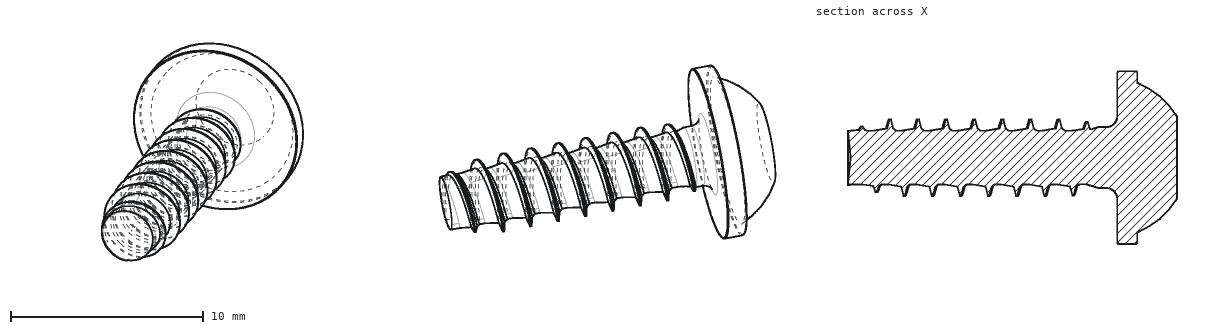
import cadquery as cq
import math


overall_length = 17.1
head_height = 3.11
flange_height = 1.05
flange_radius = 4.5
flange_edge_chamfer = 0.05
dome_base_radius = 3.9
dome_top_radius = 2.14

shank_length = overall_length - head_height
neck_radius = 1.59
neck_fillet = 0.56
neck_end = -0.97
core_start = -1.59
core_radius = 1.4
tip_recess_radius = 1.35
tip_recess_depth = 0.14

seven_turn_length = 10.23
thread_pitch = seven_turn_length / 7
crest_above_axis = -3.03
crest_radius = 2.0
crest_width = 0.09
foot_radius = 1.52
foot_offset = 0.162
head_ramp_width = 0.15
tip_ramp_width = 0.7
ramp_end_radius = 1.37
root_radius = 1.27
lead_in = [(-1.7, 0.5), (-0.4, 1)]
full_thread = [(turn, 1) for turn in range(7)]
lead_out = [(7.5, 0.05)]
thread_stages = lead_in + full_thread + lead_out
points_per_turn = 16


def revolve_about_y(outline):
    """Turn an XY outline that touches the axis into a solid of revolution."""
    return outline.close().revolve(360, (0, 0, 0), (0, 1, 0))


def make_head():
    dome_height = head_height - flange_height
    centre = (dome_top_radius**2 + dome_height**2 - dome_base_radius**2) / (2 * dome_height)
    sphere_radius = math.hypot(dome_base_radius, centre)
    mid_height = dome_height / 2
    mid_radius = math.sqrt(sphere_radius**2 - (mid_height - centre) ** 2)

    flange = revolve_about_y(
        cq.Workplane("XY")
        .lineTo(flange_radius, 0)
        .lineTo(flange_radius, flange_height)
        .lineTo(0, flange_height)
    ).edges().chamfer(flange_edge_chamfer)
    dome = revolve_about_y(
        cq.Workplane("XY")
        .lineTo(dome_base_radius, 0)
        .threePointArc((mid_radius, mid_height), (dome_top_radius, dome_height))
        .lineTo(0, dome_height)
    ).translate((0, flange_height, 0))
    return flange.union(dome)


def make_shank():
    diagonal = neck_fillet * (1 - math.sqrt(0.5))
    return revolve_about_y(
        cq.Workplane("XY")
        .lineTo(neck_radius + neck_fillet, 0)
        .threePointArc((neck_radius + diagonal, -diagonal), (neck_radius, -neck_fillet))
        .lineTo(neck_radius, neck_end)
        .lineTo(core_radius, core_start)
        .lineTo(core_radius, -shank_length)
        .lineTo(0, -shank_length)
    )


def ridge_corners():
    """Corners of the ridge section as (radius, distance from crest middle towards the tip)."""
    overrun = (foot_radius - ramp_end_radius) / (foot_radius - core_radius)
    head_end = -foot_offset - head_ramp_width * overrun
    tip_end = foot_offset + tip_ramp_width * overrun
    return [
        (root_radius, head_end),
        (ramp_end_radius, head_end),
        (foot_radius, -foot_offset),
        (crest_radius, -crest_width / 2),
        (crest_radius, crest_width / 2),
        (foot_radius, foot_offset),
        (ramp_end_radius, tip_end),
        (root_radius, tip_end),
    ]


def thread_point(corner, turn, height):
    """Place a section corner at a turn, scaling what stands proud of the core by height."""
    radius, offset = corner
    if radius > core_radius:
        radius = core_radius + height * (radius - core_radius)
    angle = 2 * math.pi * turn
    y = crest_above_axis - turn * thread_pitch - offset
    return cq.Vector(-radius * math.sin(angle), y, radius * math.cos(angle))


def corner_curve(corner, first_stage, last_stage):
    """Helical edge of one section corner between two thread stages."""
    first_turn, first_height = first_stage
    last_turn, last_height = last_stage
    steps = math.ceil((last_turn - first_turn) * points_per_turn)
    points = []
    for step in range(steps + 1):
        share = step / steps
        turn = first_turn + share * (last_turn - first_turn)
        height = first_height + share * (last_height - first_height)
        points.append(thread_point(corner, turn, height))
    return cq.Edge.makeSpline(points)


def make_thread():
    """Ridge bounded by ruled helical faces, trimmed between the neck and the tip."""
    corners = ridge_corners()
    faces = []
    for first_stage, last_stage in zip(thread_stages, thread_stages[1:]):
        curves = [corner_curve(corner, first_stage, last_stage) for corner in corners]
        for curve, next_curve in zip(curves, curves[1:] + curves[:1]):
            faces.append(cq.Face.makeRuledSurface(curve, next_curve))
    for stage in (thread_stages[0], thread_stages[-1]):
        outline = [thread_point(corner, *stage) for corner in corners]
        faces.append(cq.Face.makeFromWires(cq.Wire.makePolygon(outline, close=True)))
    ridge = cq.Workplane(cq.Solid.makeSolid(cq.Shell.makeShell(faces)))

    envelope = (
        cq.Workplane("XZ", origin=(0, neck_end, 0))
        .circle(flange_radius)
        .extrude(shank_length + neck_end)
    )
    return ridge.intersect(envelope)


def make_tip_recess():
    """Shallow cone sunk into the tip face."""
    return revolve_about_y(
        cq.Workplane("XY")
        .moveTo(0, -shank_length)
        .lineTo(tip_recess_radius, -shank_length)
        .lineTo(0, tip_recess_depth - shank_length)
    )


result = make_head().union(make_shank()).union(make_thread()).cut(make_tip_recess())